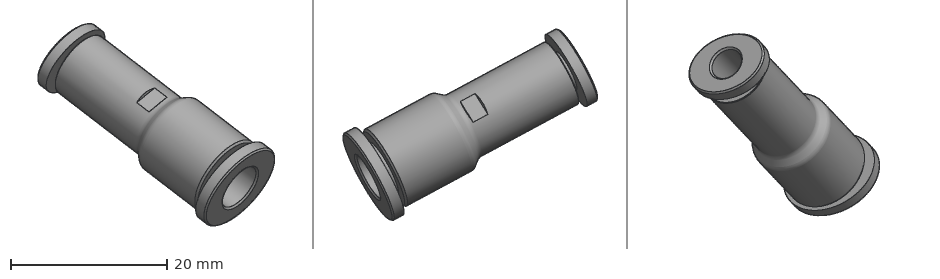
import cadquery as cq
import math

length = 31.05

small_radius = 9.07 / 2
large_radius = 11.2 / 2
body_start = 2.35
body_end = 28.63
blend_start = 16.75
blend_radius = 1.02
blend_angle = math.radians(39)
small_end_chamfer = 0.1
large_end_chamfer = 0.28

small_flange_width = 10.8
small_flange_height = 8.6
small_neck_radius = 5.55 / 2
large_flange_width = 13.0
large_flange_height = 10.95
large_neck_radius = 7.58 / 2
flange_thickness = 1.68
flange_chamfer = 0.22

small_bore_radius = 2.1
large_bore_radius = 3.1
bore_depth = 12.42
bore_chamfer = 0.25

recess_start = 14.2
recess_end = 16.35
recess_floor = 4.22
recess_wall_lean = 0.15


def revolve_about_axis(outline):
    """Close an outline drawn in the XY plane and revolve it about the X axis."""
    return outline.close().revolve(360, (0, 0, 0), (1, 0, 0))


def plane_across_axis(x):
    """Workplane across the part axis at x, facing +X."""
    return cq.Workplane("YZ", origin=(x, 0, 0))


def make_body():
    """Two barrels joined by a cone with a tangent arc at each end."""
    arc_run = blend_radius * math.sin(blend_angle)
    arc_rise = blend_radius * (1 - math.cos(blend_angle))
    half_run = blend_radius * math.sin(blend_angle / 2)
    half_rise = blend_radius * (1 - math.cos(blend_angle / 2))
    cone_rise = large_radius - small_radius - 2 * arc_rise
    cone_start = blend_start + arc_run
    cone_end = cone_start + cone_rise / math.tan(blend_angle)
    blend_end = cone_end + arc_run
    outline = (
        cq.Workplane("XY")
        .moveTo(body_start, 0)
        .lineTo(body_start, small_radius - small_end_chamfer)
        .lineTo(body_start + small_end_chamfer, small_radius)
        .lineTo(blend_start, small_radius)
        .threePointArc(
            (blend_start + half_run, small_radius + half_rise),
            (cone_start, small_radius + arc_rise),
        )
        .lineTo(cone_end, large_radius - arc_rise)
        .threePointArc(
            (blend_end - half_run, large_radius - half_rise),
            (blend_end, large_radius),
        )
        .lineTo(body_end - large_end_chamfer, large_radius)
        .lineTo(body_end, large_radius - large_end_chamfer)
        .lineTo(body_end, 0)
    )
    return revolve_about_axis(outline)


def make_neck(start, end, radius):
    """Round neck between a flange and the body."""
    return plane_across_axis(start).circle(radius).extrude(end - start)


def make_flange(start, width, height, outer_face):
    """Elliptical disc with its outer rim chamfered."""
    disc = plane_across_axis(start).ellipse(width / 2, height / 2).extrude(flange_thickness)
    return disc.faces(outer_face).edges().chamfer(flange_chamfer)


def make_socket(mouth, radius, inward):
    """Blind bore cutter entering the face at x = mouth; inward is +1 or -1 along X."""
    outline = (
        cq.Workplane("XY")
        .moveTo(mouth, 0)
        .lineTo(mouth, radius + bore_chamfer)
        .lineTo(mouth + inward * bore_chamfer, radius)
        .lineTo(mouth + inward * bore_depth, radius)
        .lineTo(mouth + inward * bore_depth, 0)
    )
    return revolve_about_axis(outline)


def make_recess():
    """Cutter for the flat, widening upward from its floor to the top of the barrel."""
    return (
        cq.Workplane("XZ")
        .moveTo(recess_start, recess_floor)
        .lineTo(recess_end, recess_floor)
        .lineTo(recess_end + recess_wall_lean, small_radius)
        .lineTo(recess_start - recess_wall_lean, small_radius)
        .close()
        .extrude(small_radius, both=True)
    )


large_flange_start = length - flange_thickness

result = (
    make_body()
    .union(make_neck(flange_thickness, body_start, small_neck_radius))
    .union(make_neck(body_end, large_flange_start, large_neck_radius))
    .union(make_flange(0, small_flange_width, small_flange_height, "<X"))
    .union(make_flange(large_flange_start, large_flange_width, large_flange_height, ">X"))
    .cut(make_socket(0, small_bore_radius, 1))
    .cut(make_socket(length, large_bore_radius, -1))
    .cut(make_recess())
)